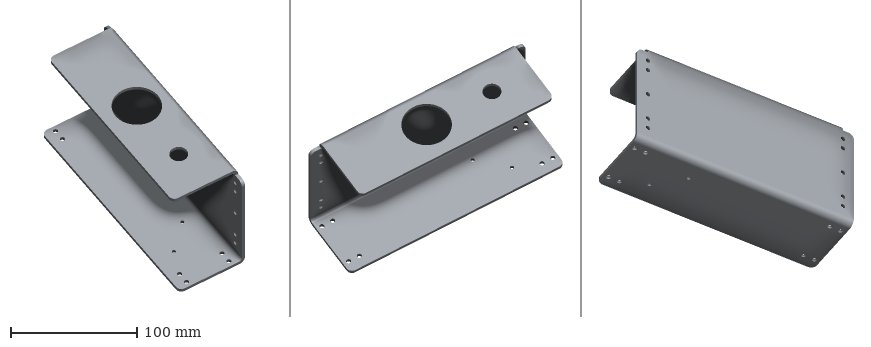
import cadquery as cq
import math

length = 200
depth = 62
height = 101.0
sheet = 3.0
inner_bend_radius = 3.0
outer_bend_radius = inner_bend_radius + sheet
corner_radius = 5.0

top_flange_length = 180
notch_length = (length - top_flange_length) / 2
notch_height = outer_bend_radius

screw_diameter = 4
screw_pitch = 10
web_hole_x = 90
web_inner_hole_z = 25.5
web_outer_hole_z = web_inner_hole_z + screw_pitch
base_outer_hole_x = 95.0
base_inner_hole_x = base_outer_hole_x - screw_pitch
base_hole_spacing_y = 40
base_front_margin = 10

large_opening_diameter = 40
large_opening_x = -9.5
small_opening_diameter = 15.0
small_opening_x = 51.5

pair_centre_y = -0.5
pair_hole_diameter = 3.2
pair_spacing = 32
pair_offset = pair_spacing / 2 * math.cos(math.radians(45))

back_y = depth / 2
front_y = -depth / 2
top_z = height / 2
bottom_z = -height / 2


def bent_channel():
    """C-shaped channel, open toward -Y, with two rounded bends."""
    outer = cq.Workplane("XY").box(length, depth, height)
    outer = outer.edges("|X and >Y").fillet(outer_bend_radius)
    inner = (
        cq.Workplane("XY")
        .box(length, depth, height - 2 * sheet)
        .translate((0, -sheet, 0))
        .edges("|X and >Y")
        .fillet(inner_bend_radius)
    )
    return outer.cut(inner)


def end_notch(side):
    """Block that removes the top flange and its bend at one end."""
    return cq.Workplane("XY").box(notch_length, depth, notch_height).translate(
        (side * (length - notch_length) / 2, 0, top_z - notch_height / 2)
    )


def round_corners(body):
    """Round the free corners of both flanges and the web."""
    body = body.edges(cq.selectors.BoxSelector(
        (-length, front_y - sheet, bottom_z - sheet),
        (length, front_y + sheet, top_z + sheet),
    )).edges("|Z").fillet(corner_radius)
    web_top_z = top_z - notch_height
    for side in (-1, 1):
        web_corner = (side * length / 2, back_y - sheet / 2, web_top_z)
        body = body.edges(cq.selectors.NearestToPointSelector(web_corner)).fillet(corner_radius)
    return body


def web_drills(points):
    """Cylinders along Y through the web, at (x, z) points."""
    return (
        cq.Workplane("XZ", origin=(0, back_y + sheet, 0))
        .pushPoints(points)
        .circle(screw_diameter / 2)
        .extrude(3 * sheet)
    )


def flange_drills(points, diameter, flange_z):
    """Cylinders along Z through one flange, at (x, y) points."""
    return (
        cq.Workplane("XY", origin=(0, 0, flange_z - 1.5 * sheet))
        .pushPoints(points)
        .circle(diameter / 2)
        .extrude(3 * sheet)
    )


result = bent_channel()
for end_side in (-1, 1):
    result = result.cut(end_notch(end_side))
result = round_corners(result)

web_hole_heights = (-web_outer_hole_z, -web_inner_hole_z, 0, web_inner_hole_z, web_outer_hole_z)
web_points = [(x, z) for x in (-web_hole_x, web_hole_x) for z in web_hole_heights]
result = result.cut(web_drills(web_points))

base_hole_columns = (-base_outer_hole_x, -base_inner_hole_x, base_inner_hole_x, base_outer_hole_x)
base_front_row_y = front_y + base_front_margin
base_hole_rows = (base_front_row_y, base_front_row_y + base_hole_spacing_y)
base_points = [(x, y) for x in base_hole_columns for y in base_hole_rows]
base_z = bottom_z + sheet / 2
result = result.cut(flange_drills(base_points, screw_diameter, base_z))

pair_points = [(small_opening_x + s * pair_offset, pair_centre_y - s * pair_offset) for s in (-1, 1)]
result = result.cut(flange_drills(pair_points, pair_hole_diameter, base_z))

flange_z = top_z - sheet / 2
result = result.cut(flange_drills([(large_opening_x, 0)], large_opening_diameter, flange_z))
result = result.cut(flange_drills([(small_opening_x, 0)], small_opening_diameter, flange_z))